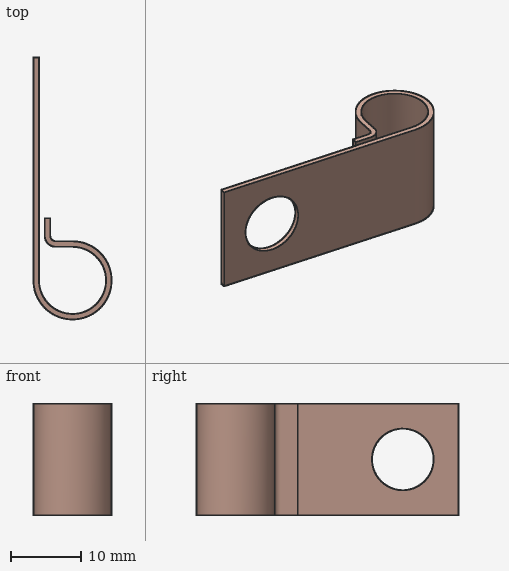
import cadquery as cq
import math

total_length = 37.3
width = 15.9
thickness = 0.82
outer_diameter = 11.15
lip_gap = 0.8
lip_height = 3.3
bend_radius = 0.8
hole_diameter = 8.73
hole_end_distance = width / 2

outer_radius = outer_diameter / 2
inner_radius = outer_radius - thickness
strap_end = total_length - outer_radius
lip_left = -inner_radius + lip_gap
lip_right = lip_left + thickness
lip_end = outer_radius + lip_height
outer_bend_radius = bend_radius + thickness
bend_x = lip_right + bend_radius
bend_y = outer_radius + bend_radius
diagonal = math.sqrt(0.5)


def on_arc(center_x, center_y, radius, x_sign, y_sign):
    """Point on a circle along one of its 45 degree diagonals."""
    return (center_x + x_sign * radius * diagonal, center_y + y_sign * radius * diagonal)


def bent_strip():
    """Straight strap, three-quarter loop and upturned lip."""
    return (
        cq.Workplane("XY", origin=(0, 0, -width / 2))
        .moveTo(-outer_radius, strap_end)
        .lineTo(-outer_radius, 0)
        .threePointArc(on_arc(0, 0, outer_radius, 1, -1), (0, outer_radius))
        .lineTo(bend_x, outer_radius)
        .threePointArc(on_arc(bend_x, bend_y, bend_radius, -1, -1), (lip_right, bend_y))
        .lineTo(lip_right, lip_end)
        .lineTo(lip_left, lip_end)
        .lineTo(lip_left, bend_y)
        .threePointArc(on_arc(bend_x, bend_y, outer_bend_radius, -1, -1), (bend_x, inner_radius))
        .lineTo(0, inner_radius)
        .threePointArc(on_arc(0, 0, inner_radius, 1, -1), (-inner_radius, 0))
        .lineTo(-inner_radius, strap_end)
        .close()
        .extrude(width)
    )


def strap_hole():
    """Cylinder that pierces the strap only."""
    return (
        cq.Workplane("YZ", origin=(-outer_radius, 0, 0))
        .center(strap_end - hole_end_distance, 0)
        .circle(hole_diameter / 2)
        .extrude(thickness)
    )


result = bent_strip().cut(strap_hole())